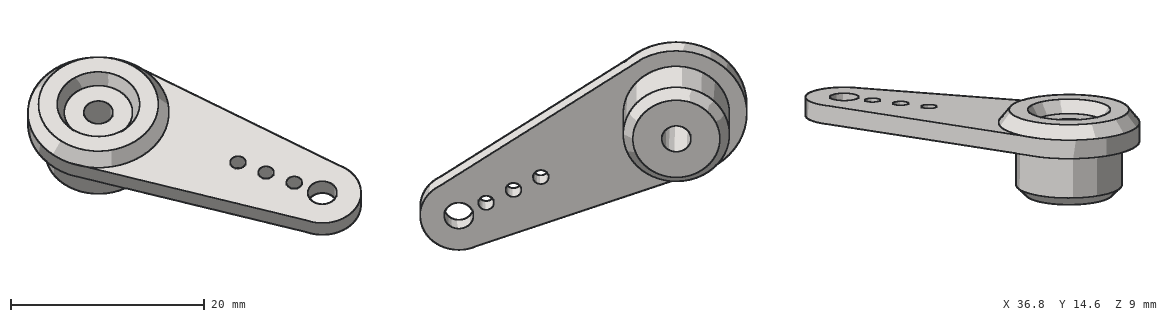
import cadquery as cq

hub_diameter = 14.6
arm_tip_radius = 4.0
arm_length = 36.8
arm_thickness = 2.0
hub_radius = hub_diameter / 2
tip_x = arm_length - hub_radius - arm_tip_radius

collar_height = 1.35
collar_top_diameter = 12.4
hub_top = arm_thickness + collar_height

boss_diameter = 11.0
boss_height = 5.65
boss_chamfer = 1.0

recess_floor_diameter = 7.05
recess_mouth_diameter = 8.55

screw_hole_diameter = 3.0
tip_hole_diameter = 3.0
link_hole_diameter = 1.62
link_hole_count = 3
link_hole_pitch = 3.2


def cylinder(diameter, bottom, height):
    return cq.Workplane("XY").workplane(offset=bottom).circle(diameter / 2).extrude(height)


def cone(bottom_diameter, top_diameter, bottom, height):
    return (
        cq.Workplane("XY")
        .workplane(offset=bottom)
        .circle(bottom_diameter / 2)
        .workplane(offset=height)
        .circle(top_diameter / 2)
        .loft(ruled=True)
    )


def make_arm():
    """Tapered plate with a half-round end at the hub and a smaller one at the tip."""
    return (
        cq.Workplane("XY")
        .moveTo(0, hub_radius)
        .lineTo(tip_x, arm_tip_radius)
        .threePointArc((tip_x + arm_tip_radius, 0), (tip_x, -arm_tip_radius))
        .lineTo(0, -hub_radius)
        .threePointArc((-hub_radius, 0), (0, hub_radius))
        .close()
        .extrude(arm_thickness)
    )


def make_collar():
    """Truncated cone opened by the conical recess."""
    collar = cone(hub_diameter, collar_top_diameter, arm_thickness, collar_height)
    recess = cone(recess_floor_diameter, recess_mouth_diameter, arm_thickness, collar_height)
    return collar.cut(recess)


def make_boss():
    boss = cylinder(boss_diameter, -boss_height, boss_height)
    return boss.faces("<Z").chamfer(boss_chamfer)


def through_hole(diameter, x):
    return cylinder(diameter, -boss_height, boss_height + hub_top).translate((x, 0, 0))


result = make_arm().union(make_collar()).union(make_boss())

result = result.cut(through_hole(screw_hole_diameter, 0))
result = result.cut(through_hole(tip_hole_diameter, tip_x))
for step in range(1, link_hole_count + 1):
    result = result.cut(through_hole(link_hole_diameter, tip_x - step * link_hole_pitch))